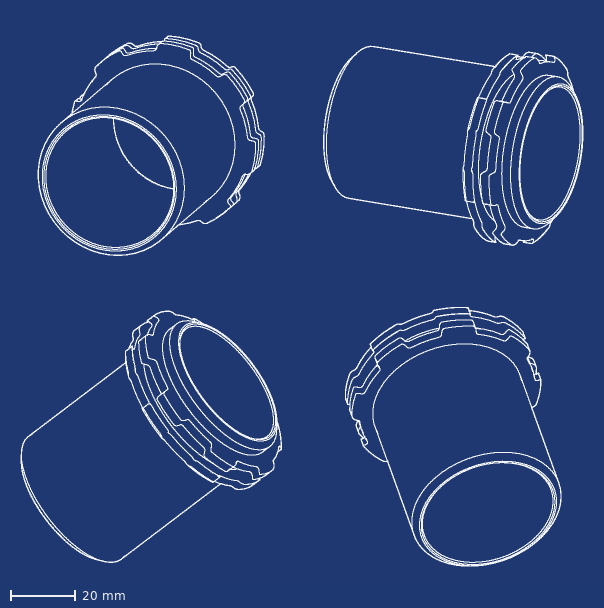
import cadquery as cq
import math

sleeve_length = 68.0
sleeve_diameter = 47.8
sleeve_bore = 41.8
end_chamfer = 2.0
bore_chamfer = 0.5

ring_bore = sleeve_diameter
ring_diameter = 56.25
crest_diameter = 60.45
ring_thickness = 2.9
tooth_offset = 1.2
back_ring_inset = 5.0
tip_gap = 2.7

tooth_count = 8
first_tooth_angle = 7.5
crest_width = 10.9
flank_draft = 7.0
tooth_fillet = 1.0

ring_radius = ring_diameter / 2
crest_radius = crest_diameter / 2
back_ring_face = sleeve_length - back_ring_inset
front_ring_face = back_ring_face - 2 * (ring_thickness + tooth_offset) - tip_gap


def make_sleeve():
    """Tube with a large outer chamfer and a small bore chamfer at both ends."""
    outside = cq.Workplane("XZ").circle(sleeve_diameter / 2).extrude(-sleeve_length)
    outside = outside.faces("<Y or >Y").chamfer(end_chamfer)
    sleeve = outside.cut(cq.Workplane("XZ").circle(sleeve_bore / 2).extrude(-sleeve_length))
    bore_edges = cq.selectors.RadiusNthSelector(0)
    return sleeve.faces("<Y or >Y").edges(bore_edges).chamfer(bore_chamfer)


def tooth_prism(depth):
    """Tapered tooth standing on +Z, from inside the ring out to the crest circle."""
    corner_height = math.sqrt(crest_radius ** 2 - (crest_width / 2) ** 2)
    root_radius = (ring_bore + ring_diameter) / 4
    taper = 2 * (corner_height - root_radius) * math.tan(math.radians(flank_draft))
    root_width = crest_width + taper
    return (
        cq.Workplane("XZ")
        .moveTo(-root_width / 2, root_radius)
        .lineTo(root_width / 2, root_radius)
        .lineTo(crest_width / 2, corner_height)
        .threePointArc((0, crest_radius), (-crest_width / 2, corner_height))
        .close()
        .extrude(-depth)
    )


def toothed_disc(depth):
    """Disc with rounded teeth, reaching from Y = 0 to Y = depth."""
    disc = cq.Workplane("XZ").circle(ring_radius).extrude(-depth)
    for index in range(tooth_count):
        angle = first_tooth_angle + index * 360 / tooth_count
        tooth = tooth_prism(depth).rotate((0, 0, 0), (0, 1, 0), angle)
        disc = disc.union(tooth)
    return disc.edges("|Y").fillet(tooth_fillet)


def dished_ring():
    """Revolved ring, flat out to the ring diameter and then curving towards +Y up to the crest."""
    reach = crest_radius - ring_radius
    curve_radius = (reach ** 2 + tooth_offset ** 2) / (2 * tooth_offset)
    half_turn = math.atan2(tooth_offset, reach)
    middle_radius = ring_radius + curve_radius * math.sin(half_turn)
    middle_rise = curve_radius * (1 - math.cos(half_turn))
    return (
        cq.Workplane("XY")
        .moveTo(ring_bore / 2, 0)
        .lineTo(ring_radius, 0)
        .threePointArc((middle_radius, middle_rise), (crest_radius, tooth_offset))
        .lineTo(crest_radius, ring_thickness + tooth_offset)
        .threePointArc((middle_radius, ring_thickness + middle_rise), (ring_radius, ring_thickness))
        .lineTo(ring_bore / 2, ring_thickness)
        .close()
        .revolve(360, (0, 0, 0), (0, 1, 0))
    )


def make_lock_ring():
    """Toothed ring with its flat outer face at Y = 0 and its tooth tips bent towards +Y."""
    return dished_ring().intersect(toothed_disc(ring_thickness + tooth_offset))


sleeve = make_sleeve()
front_ring = make_lock_ring().translate((0, front_ring_face, 0))
back_ring = make_lock_ring().mirror("XZ").translate((0, back_ring_face, 0))

result = cq.Compound.makeCompound([sleeve.val(), front_ring.val(), back_ring.val()])